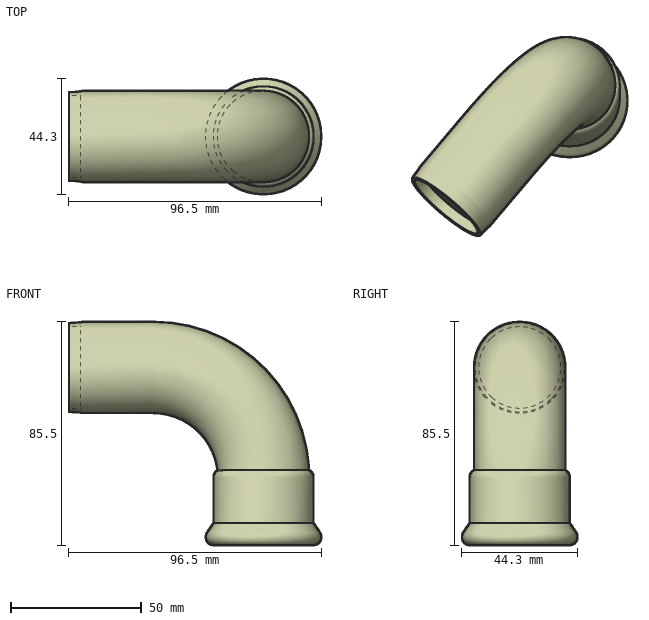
import cadquery as cq
import math

length = 96.5
height = 85.5

pipe_diameter = 35.0
pipe_radius = pipe_diameter / 2
pipe_axis_z = height - pipe_radius
bend_start_x = 32.3

tip_diameter = 34.1
taper_end_diameter = 34.7
taper_length = 4.4
step_end_x = 5.3
recess_diameter = 31.3
recess_depth = 4.3

collar_diameter = 38.4
collar_radius = collar_diameter / 2
bead_diameter = 44.3
bead_round = 3.2
collar_bottom_z = 8.5
shoulder_bottom_z = 26.0
shoulder_round = 3.2

socket_axis_x = length - bead_diameter / 2
bend_radius = socket_axis_x - bend_start_x


def make_spigot():
    """Straight leg along X with its tapered tip and blind end recess."""
    leg = (
        cq.Workplane("XZ")
        .moveTo(0, 0)
        .lineTo(0, tip_diameter / 2)
        .lineTo(taper_length, taper_end_diameter / 2)
        .lineTo(step_end_x, pipe_radius)
        .lineTo(bend_start_x, pipe_radius)
        .lineTo(bend_start_x, 0)
        .close()
        .revolve(360, (0, 0, 0), (1, 0, 0))
    )
    recess = cq.Workplane("YZ").circle(recess_diameter / 2).extrude(recess_depth)
    return leg.cut(recess).translate((0, 0, pipe_axis_z))


def make_bend():
    """Quarter turn from the X leg down onto the socket axis."""
    return (
        cq.Workplane("YZ", origin=(bend_start_x, 0, pipe_axis_z))
        .circle(pipe_radius)
        .revolve(90, (0, -bend_radius, 0), (1, -bend_radius, 0))
    )


def make_socket():
    """Solid of revolution about Z: bead, cone, collar and rounded shoulder."""
    bead_center_r = bead_diameter / 2 - bead_round

    rise = collar_bottom_z - bead_round
    run = collar_radius - bead_center_r
    tangent_angle = math.atan2(rise, run) - math.acos(bead_round / math.hypot(run, rise))
    cone_start_r = bead_center_r + bead_round * math.cos(tangent_angle)
    cone_start_z = bead_round + bead_round * math.sin(tangent_angle)

    shoulder_top_z = shoulder_bottom_z + shoulder_round
    diagonal = shoulder_round * math.sqrt(0.5)
    shoulder_center_r = collar_radius - shoulder_round
    return (
        cq.Workplane("XZ")
        .moveTo(0, 0)
        .lineTo(bead_center_r, 0)
        .threePointArc((bead_diameter / 2, bead_round), (cone_start_r, cone_start_z))
        .lineTo(collar_radius, collar_bottom_z)
        .lineTo(collar_radius, shoulder_bottom_z)
        .threePointArc(
            (shoulder_center_r + diagonal, shoulder_bottom_z + diagonal),
            (shoulder_center_r, shoulder_top_z),
        )
        .lineTo(0, shoulder_top_z)
        .close()
        .revolve(360, (0, 0, 0), (0, 1, 0))
        .translate((socket_axis_x, 0, 0))
    )


result = make_spigot().union(make_bend()).union(make_socket())